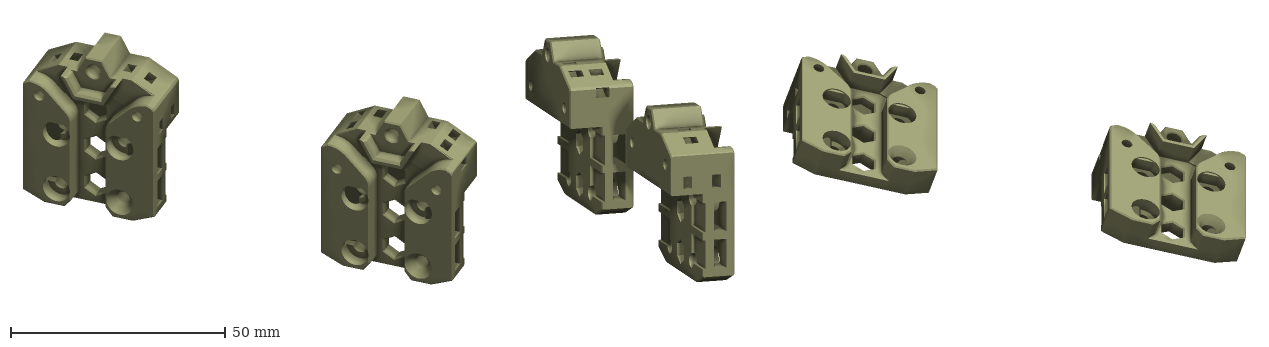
import cadquery as cq
import math

TOTAL_WIDTH = 107.9
HEIGHT = 39.9
DEPTH = 15.8
HALF_WIDTH = 16.6
OUTER_HALF_WIDTH = 16.4
EDGE_BEVEL = 0.3

BOTTOM_HALF = 11.1
BOTTOM_CORNER_Z = 2.4
SHOULDER_Z = 31.7
SHOULDER_BEVEL = 0.4
TOP_HALF = 9.2
TOP_Z = 35.7
STEP_Z = 22.2
LOWER_DEPTH = 7.9

TOWER_TOP_HALF = 2.0
TOWER_BASE_HALF = 4.3
TOWER_FRONT = 3.5
TOWER_HOLE_Z = 36.5
TOWER_HOLE_DIAMETER = 3.5
TOWER_HOLE_RIM_DIAMETER = 4.0

CHANNEL_DEPTH = 4.7
POCKET_DEPTH = 4.4
POCKET_OUTER_HALF = 7.5
POCKET_OUTER_Z = 28.3
RAIL_INNER_HALF = 4.3
RAIL_FOOT_HALF = 6.0
RAIL_FOOT_Z = 2.2
RAIL_BEND_Z = 24.9
RAIL_BEND_RADIUS = 3.8
RAIL_ARC_START_HALF = 10.0

FRAME_BOTTOM_HALF = 3.8
FRAME_BOTTOM_Z = 30.1
FRAME_TOP_HALF = 6.9
RECESS_BOTTOM_HALF = 3.1
RECESS_BOTTOM_Z = 31.5
RECESS_TOP_HALF = 5.3
RECESS_BEVEL = 0.5
RECESS_LIP_HEIGHT = 0.3
RECESS_LIP_WIDTH = 0.5

SCREW_HALF_SPACING = 8.0
SCREW_LOW_Z = 4.5
SCREW_HIGH_Z = 19.5
SCREW_DIAMETER = 3.5
SCREW_HEAD_DIAMETER = 6.8
SCREW_HEAD_DEPTH = 3.2
SCREW_RIM_DEPTH = 0.3
COUNTERSINK_DEPTH = 2.0

HEX_FLATS = 5.2
HEX_RIM_BEVEL = 0.3
HEX_BOTTOM_Z = 5.0
HEX_PITCH = 10.0
HEX_COUNT = 3
TOP_HEX_DEPTH = 2.4

PIN_DIAMETER = 2.6
LEFT_PIN_HALF_SPACING = 12.3
LEFT_PIN_Z = 29.0
RIGHT_PIN_HALF_SPACING = 12.5
RIGHT_PIN_Z = 26.4

SLOT_RANGES = [(4.2, 11.1), (13.0, 20.1)]
SLOT_FRONT = 2.0
SLOT_BACK = 5.1
SLOT_CORNER_RADIUS = 2.3
BACK_GROOVE_DEPTH = 0.8

TUNNEL_WIDTH = 3.2
TUNNEL_THICKNESS = 2.2
TOP_TUNNEL_RADIUS = 3.0
TOP_TUNNEL_INSET = 6.9
TOP_TUNNEL_Z = 36.3
LEFT_TOP_TUNNEL_Y = 9.3
RIGHT_TOP_TUNNEL_Y = 12.6
SHOULDER_TUNNEL_RADIUS = 3.3
SHOULDER_TUNNEL_INSET = 1.5
SHOULDER_TUNNEL_Z = 33.3
SHOULDER_TUNNEL_Y = 7.7
FLANK_TUNNEL_RADIUS = 3.6
FLANK_TUNNEL_Y = 8.0
FLANK_TUNNEL_Z = 25.0

SIDES = (-1, 1)


def front_plane(y):
    """Sketch plane at depth y: local x is X, local y is Z, extrusion runs towards -Y."""
    return cq.Workplane("XZ", origin=(0, y, 0))


def front_prism(points, front, back):
    return front_plane(front).polyline(points).close().extrude(front - back)


def mirrored(points):
    """Close a right-hand half outline with its mirror image about X = 0."""
    return points + [(-x, z) for x, z in reversed(points)]


def front_cylinder(x, z, diameter, front, back):
    return front_plane(front).center(x, z).circle(diameter / 2).extrude(front - back)


def shoulder_points():
    """Ends of the small bevel between the flank and the sloping shoulder."""
    shoulder_angle = math.atan2(TOP_Z - SHOULDER_Z, HALF_WIDTH - TOP_HALF)
    return [
        (HALF_WIDTH, SHOULDER_Z - SHOULDER_BEVEL),
        (
            HALF_WIDTH - SHOULDER_BEVEL * math.cos(shoulder_angle),
            SHOULDER_Z + SHOULDER_BEVEL * math.sin(shoulder_angle),
        ),
    ]


def plate_outline(bottom_points):
    return bottom_points + shoulder_points() + [(TOP_HALF, TOP_Z)]


def base_plate():
    """Plate behind the front relief: full height at the front, only the upper part at the back."""
    lower = plate_outline([(BOTTOM_HALF, 0), (HALF_WIDTH, BOTTOM_CORNER_Z)])
    upper = plate_outline([(HALF_WIDTH, STEP_Z)])
    tower = [(TOWER_BASE_HALF, TOP_Z), (TOWER_TOP_HALF, HEIGHT)]
    thin = front_prism(mirrored(lower), CHANNEL_DEPTH, LOWER_DEPTH)
    thin = thin.faces(">Y").chamfer(EDGE_BEVEL)
    thick = front_prism(mirrored(upper + tower), CHANNEL_DEPTH, DEPTH)
    thick = thick.faces(">Y").chamfer(EDGE_BEVEL)
    tower_foot = [(TOWER_BASE_HALF, RECESS_BOTTOM_Z)]
    tower_front = front_prism(mirrored(tower_foot + tower), TOWER_FRONT, CHANNEL_DEPTH)
    tower_front = tower_front.faces("<Y").chamfer(EDGE_BEVEL)
    return thin.union(thick).union(tower_front)


def rail(side):
    """Raised rail; its inner edge bends outwards at 45 degrees and arcs up to the sloping shoulder."""
    slope = (TOP_Z - SHOULDER_Z) / (HALF_WIDTH - TOP_HALF)
    arc_start_z = RAIL_BEND_Z + RAIL_ARC_START_HALF - RAIL_INNER_HALF
    arc_run = math.sin(math.pi / 4)
    arc_rise = 1 - math.cos(math.pi / 4)
    shoulder_above_start = SHOULDER_Z + slope * (HALF_WIDTH - RAIL_ARC_START_HALF) - arc_start_z
    radius = shoulder_above_start / (arc_rise + slope * arc_run)
    centre_x = RAIL_ARC_START_HALF + radius * arc_run
    arc_top_z = arc_start_z + radius * arc_rise
    arc_middle = (
        centre_x - radius * math.sin(math.pi / 8),
        arc_top_z - radius + radius * math.cos(math.pi / 8),
    )
    flank_end, shoulder_start = shoulder_points()
    shape = (
        front_plane(0)
        .moveTo(BOTTOM_HALF, 0)
        .lineTo(HALF_WIDTH, BOTTOM_CORNER_Z)
        .lineTo(*flank_end)
        .lineTo(*shoulder_start)
        .lineTo(centre_x, arc_top_z)
        .threePointArc(arc_middle, (RAIL_ARC_START_HALF, arc_start_z))
        .lineTo(RAIL_INNER_HALF, RAIL_BEND_Z)
        .lineTo(RAIL_INNER_HALF, RAIL_FOOT_Z)
        .lineTo(RAIL_FOOT_HALF, 0)
        .close()
        .extrude(-CHANNEL_DEPTH)
    )
    bend = cq.selectors.NearestToPointSelector((RAIL_INNER_HALF, CHANNEL_DEPTH / 2, RAIL_BEND_Z))
    shape = shape.edges("|Y").edges(bend).fillet(RAIL_BEND_RADIUS)
    shape = shape.faces("<Y").chamfer(EDGE_BEVEL)
    if side < 0:
        shape = shape.mirror("YZ")
    return shape


def pocket_floor():
    """Slightly raised floor beside the frame, between it and the rails."""
    outline = mirrored(
        [
            (FRAME_BOTTOM_HALF, FRAME_BOTTOM_Z),
            (POCKET_OUTER_HALF, POCKET_OUTER_Z),
            (HALF_WIDTH - SHOULDER_BEVEL, SHOULDER_Z),
            (TOP_HALF, TOP_Z),
        ]
    )
    return front_prism(outline, POCKET_DEPTH, CHANNEL_DEPTH)


def tower_frame():
    return front_prism(
        mirrored([(FRAME_BOTTOM_HALF, FRAME_BOTTOM_Z), (FRAME_TOP_HALF, TOP_Z)]), 0, CHANNEL_DEPTH
    )


def recess_outline(growth):
    """Recess trapezoid with each side moved outwards by growth; it widens at the flat top."""
    lip_z = TOP_Z - RECESS_LIP_HEIGHT
    lean = (RECESS_TOP_HALF - RECESS_BOTTOM_HALF) / (lip_z - RECESS_BOTTOM_Z)
    side_growth = growth * math.hypot(1, lean)
    bottom_half = RECESS_BOTTOM_HALF + side_growth - growth * lean
    top_half = RECESS_TOP_HALF + side_growth
    return mirrored(
        [
            (bottom_half, RECESS_BOTTOM_Z - growth),
            (top_half, lip_z),
            (top_half + RECESS_LIP_WIDTH, TOP_Z),
        ]
    )


def tower_recess():
    recess = front_prism(recess_outline(0), 0, TOWER_FRONT)
    rim = (
        front_plane(0)
        .polyline(recess_outline(RECESS_BEVEL))
        .close()
        .workplane(offset=-RECESS_BEVEL)
        .polyline(recess_outline(0))
        .close()
        .loft(ruled=True)
    )
    return recess.union(rim)


def tower_hole():
    hole = front_cylinder(0, TOWER_HOLE_Z, TOWER_HOLE_DIAMETER, TOWER_FRONT, DEPTH)
    rim = cq.Solid.makeCone(
        TOWER_HOLE_RIM_DIAMETER / 2,
        TOWER_HOLE_DIAMETER / 2,
        (TOWER_HOLE_RIM_DIAMETER - TOWER_HOLE_DIAMETER) / 2,
        pnt=cq.Vector(0, TOWER_FRONT, TOWER_HOLE_Z),
        dir=cq.Vector(0, 1, 0),
    )
    return hole.union(cq.Workplane(rim))


def screw_hole(x, z):
    return front_cylinder(x, z, SCREW_DIAMETER, 0, LOWER_DEPTH)


def screw_seat(x, z):
    """Counterbored screw hole; the deep part of the seat has a flat roof at the step height."""
    rim = front_cylinder(x, z, SCREW_HEAD_DIAMETER, 0, SCREW_RIM_DEPTH)
    seat = front_cylinder(x, z, SCREW_HEAD_DIAMETER, 0, SCREW_HEAD_DEPTH)
    roof_limit = cq.Workplane("XY").box(TOTAL_WIDTH, DEPTH, STEP_Z, centered=(True, False, False))
    return screw_hole(x, z).union(seat.intersect(roof_limit)).union(rim)


def countersunk_hole(x, z):
    cone = cq.Solid.makeCone(
        SCREW_HEAD_DIAMETER / 2,
        SCREW_DIAMETER / 2,
        COUNTERSINK_DEPTH,
        pnt=cq.Vector(x, 0, z),
        dir=cq.Vector(0, 1, 0),
    )
    return screw_hole(x, z).union(cq.Workplane(cone))


def hex_socket(z, depth):
    """Pointed-up hexagonal socket sunk into the channel floor, with a bevelled rim."""
    corner_ratio = 1 / math.cos(math.pi / 6)
    flats_with_rim = HEX_FLATS + 2 * HEX_RIM_BEVEL

    def hexagon(flats):
        radius = flats / 2 * corner_ratio
        angles = [math.pi / 6 + i * math.pi / 3 for i in range(6)]
        return [(radius * math.cos(a), z + radius * math.sin(a)) for a in angles]

    socket = front_prism(hexagon(HEX_FLATS), CHANNEL_DEPTH, CHANNEL_DEPTH + depth)
    rim = (
        front_plane(CHANNEL_DEPTH)
        .polyline(hexagon(flats_with_rim))
        .close()
        .workplane(offset=-HEX_RIM_BEVEL)
        .polyline(hexagon(HEX_FLATS))
        .close()
        .loft(ruled=True)
    )
    return socket.union(rim)


def strap_slot(side, bottom, top):
    """Slot from the flank to the screw axis with a rounded inner corner, and the groove behind it."""
    length = HALF_WIDTH - SCREW_HALF_SPACING
    middle_x = side * (HALF_WIDTH + SCREW_HALF_SPACING) / 2

    def block(front, back):
        base = cq.Workplane("XY", origin=(middle_x, (front + back) / 2, bottom))
        return base.rect(length, back - front).extrude(top - bottom)

    inner_corner = cq.selectors.NearestToPointSelector(
        (side * SCREW_HALF_SPACING, SLOT_FRONT, (bottom + top) / 2)
    )
    slot = block(SLOT_FRONT, SLOT_BACK).edges("|Z").edges(inner_corner).fillet(SLOT_CORNER_RADIUS)
    groove = block(LOWER_DEPTH - BACK_GROOVE_DEPTH, LOWER_DEPTH)
    return slot.union(groove)


def ring(plane, origin, radius):
    """Rectangular-section ring centred on its plane; cutting part of it leaves a curved tunnel."""
    return (
        cq.Workplane(plane, origin=origin)
        .circle(radius + TUNNEL_THICKNESS / 2)
        .circle(radius - TUNNEL_THICKNESS / 2)
        .extrude(TUNNEL_WIDTH / 2, both=True)
    )


def top_tunnel(side, y):
    """Tunnel around the edge between the flat top and the sloping shoulder."""
    return ring("XZ", (side * (HALF_WIDTH - TOP_TUNNEL_INSET), y, TOP_TUNNEL_Z), TOP_TUNNEL_RADIUS)


def shoulder_tunnel(side):
    """Tunnel around the edge between the sloping shoulder and the flank."""
    x = side * (HALF_WIDTH - SHOULDER_TUNNEL_INSET)
    return ring("XZ", (x, SHOULDER_TUNNEL_Y, SHOULDER_TUNNEL_Z), SHOULDER_TUNNEL_RADIUS)


def flank_tunnel(side):
    """Tunnel that enters and leaves through the same flank."""
    return ring("XY", (side * HALF_WIDTH, FLANK_TUNNEL_Y, FLANK_TUNNEL_Z), FLANK_TUNNEL_RADIUS)


def common_plate():
    """Everything the two carriage plates share, centred on X = 0."""
    plate = base_plate().union(pocket_floor()).union(tower_frame().cut(tower_recess()))
    for side in SIDES:
        plate = plate.union(rail(side))
    plate = plate.cut(tower_hole())
    for index in range(HEX_COUNT):
        is_top = index == HEX_COUNT - 1
        depth = TOP_HEX_DEPTH if is_top else LOWER_DEPTH - CHANNEL_DEPTH
        plate = plate.cut(hex_socket(HEX_BOTTOM_Z + index * HEX_PITCH, depth))
    for side in SIDES:
        plate = plate.cut(screw_seat(side * SCREW_HALF_SPACING, SCREW_HIGH_Z))
        for bottom, top in SLOT_RANGES:
            plate = plate.cut(strap_slot(side, bottom, top))
    plate = plate.cut(screw_seat(-SCREW_HALF_SPACING, SCREW_LOW_Z))
    plate = plate.cut(countersunk_hole(SCREW_HALF_SPACING, SCREW_LOW_Z))
    return plate


def finished_plate(outer_side, pin_half_spacing, pin_z, tunnels):
    """Add pin holes and tunnels, trim the outer flank and move the plate into place."""
    plate = common_plate()
    for side in SIDES:
        plate = plate.cut(front_cylinder(side * pin_half_spacing, pin_z, PIN_DIAMETER, 0, DEPTH))
    for tunnel in tunnels:
        plate = plate.cut(tunnel)
    trim_centre = outer_side * (OUTER_HALF_WIDTH + HALF_WIDTH)
    trim = cq.Workplane("XY", origin=(trim_centre, 0, 0)).box(
        2 * HALF_WIDTH, DEPTH, HEIGHT, centered=(True, False, False)
    )
    place = outer_side * (TOTAL_WIDTH / 2 - OUTER_HALF_WIDTH)
    return plate.cut(trim).translate((place, 0, 0))


left_tunnels = []
right_tunnels = []
for side in SIDES:
    left_tunnels += [top_tunnel(side, LEFT_TOP_TUNNEL_Y), flank_tunnel(side)]
    right_tunnels += [top_tunnel(side, RIGHT_TOP_TUNNEL_Y), shoulder_tunnel(side)]

left_plate = finished_plate(-1, LEFT_PIN_HALF_SPACING, LEFT_PIN_Z, left_tunnels)
right_plate = finished_plate(1, RIGHT_PIN_HALF_SPACING, RIGHT_PIN_Z, right_tunnels)

result = cq.Compound.makeCompound([left_plate.val(), right_plate.val()])